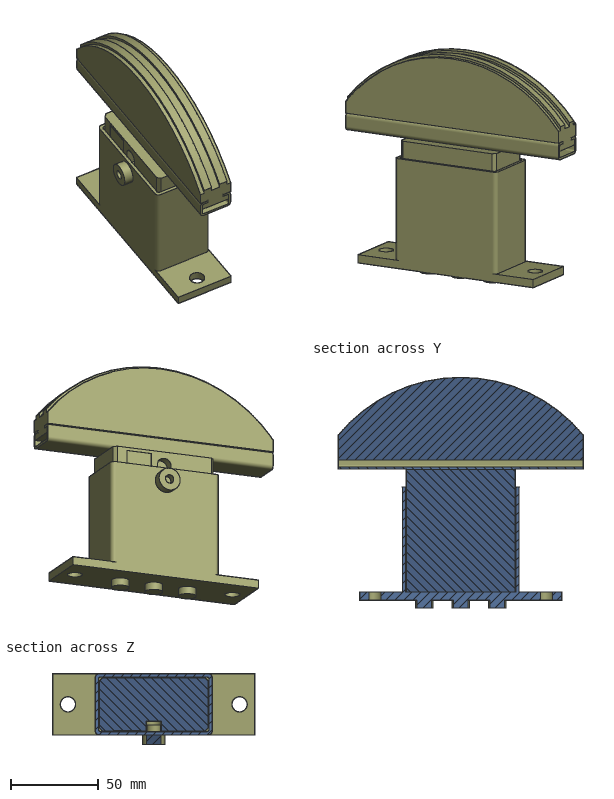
import cadquery as cq
import math


PLATE_LENGTH = 115.4
PLATE_THICKNESS = 4.9
HOUSING_LENGTH = 66.9
HOUSING_WIDTH = 35.0
HOUSING_HEIGHT = 64.8
HOUSING_WALL = 2.0
HOUSING_CORNER_RADIUS = 2.4
CAVITY_CORNER_RADIUS = 1.1
MOUNTING_HOLE_DIAMETER = 8.5
MOUNTING_HOLE_SPACING = 98.0
PEG_DIAMETER = 10.2
PEG_LENGTH = 4.3
PEG_SPACING = 20.9
PEG_COUNT = 3

SLIDER_LENGTH = 62.5
SLIDER_WIDTH = 30.5
SLIDER_TOP = 74.9
SLIDER_CORNER_CHAMFER = 2.0
SLOT_WIDTH = 8.5
SLOT_DEPTH = 5.6
SLOT_TOP = 71.1
PANEL_LENGTH = 15.1
PANEL_CENTRE_X = -15.7
PANEL_TOP = 73.1
PANEL_HEIGHT = 14.0
PANEL_DEPTH = 0.1

SCREW_HEIGHT = 56.7
SCREW_HEAD_DIAMETER = 13.0
SCREW_HEAD_LENGTH = 5.5
SHANK_DIAMETER = 8.0
SHANK_LENGTH = 5.6
SOCKET_DIAMETER = 5.0
SOCKET_DEPTH = 4.2

HEAD_LENGTH = 140.0
HEAD_WIDTH = 20.0
RAIL_HEIGHT = 10.2
RAIL_WALL = 1.4
RAIL_CORNER_RADIUS = 2.2
RAIL_OPENING = 10.0

SHOE_TOP = 127.4
ARC_RISE = 33.0
RIDGE_HEIGHT = 1.4
RIDGE_WIDTH = 4.9
RIDGE_SPACING = 10.2
TONGUE_THICKNESS = 3.6

FRONT_Y = -HOUSING_WIDTH / 2
SLIDER_FRONT_Y = -SLIDER_WIDTH / 2
RAIL_TOP = SLIDER_TOP + RAIL_HEIGHT
RAIL_INNER_WIDTH = HEAD_WIDTH - 2 * RAIL_WALL
RAIL_INNER_RADIUS = RAIL_CORNER_RADIUS - RAIL_WALL
ARC_RADIUS = ((HEAD_LENGTH / 2) ** 2 + ARC_RISE ** 2) / (2 * ARC_RISE)
ARC_CENTRE_Z = SHOE_TOP - ARC_RADIUS


def box_on(length, width, height, base_z):
    """Box centred on the Z axis with its underside at base_z."""
    return cq.Workplane("XY", origin=(0, 0, base_z)).box(length, width, height, centered=(True, True, False))


def cylinder_along_y(diameter, start_y, length):
    """Cylinder on the screw axis, running from start_y towards +Y."""
    plane = cq.Workplane("XZ", origin=(0, start_y, SCREW_HEIGHT))
    return plane.circle(diameter / 2).extrude(-length)


def make_housing():
    plate = box_on(PLATE_LENGTH, HOUSING_WIDTH, PLATE_THICKNESS, 0).faces(">Z").workplane()
    plate = plate.rarray(MOUNTING_HOLE_SPACING, 1.4, 2, 1).hole(MOUNTING_HOLE_DIAMETER)

    wall_height = HOUSING_HEIGHT - PLATE_THICKNESS
    walls = box_on(HOUSING_LENGTH, HOUSING_WIDTH, wall_height, PLATE_THICKNESS)
    walls = walls.edges("|Z").fillet(HOUSING_CORNER_RADIUS)
    cavity = box_on(
        HOUSING_LENGTH - 2 * HOUSING_WALL, HOUSING_WIDTH - 2 * HOUSING_WALL, wall_height, PLATE_THICKNESS
    )
    cavity = cavity.edges("|Z").fillet(CAVITY_CORNER_RADIUS)

    pegs = cq.Workplane("XY").rarray(PEG_SPACING, 1.4, PEG_COUNT, 1).circle(PEG_DIAMETER / 2)
    pegs = pegs.extrude(-PEG_LENGTH)

    screw_hole = cylinder_along_y(SHANK_DIAMETER, FRONT_Y, SHANK_LENGTH)
    return plate.union(walls.cut(cavity)).union(pegs).cut(screw_hole)


def make_slider():
    block = box_on(SLIDER_LENGTH, SLIDER_WIDTH, SLIDER_TOP - PLATE_THICKNESS, PLATE_THICKNESS)
    block = block.edges("|Z").chamfer(SLIDER_CORNER_CHAMFER)

    slot_bottom = SCREW_HEIGHT - SLOT_WIDTH / 2
    slot_plane = cq.Workplane("XZ", origin=(0, SLIDER_FRONT_Y, (SLOT_TOP + slot_bottom) / 2))
    slot = slot_plane.slot2D(SLOT_TOP - slot_bottom, SLOT_WIDTH, 90).extrude(-SLOT_DEPTH)

    panel_plane = cq.Workplane("XZ", origin=(PANEL_CENTRE_X, SLIDER_FRONT_Y, PANEL_TOP - PANEL_HEIGHT / 2))
    panel = panel_plane.rect(PANEL_LENGTH, PANEL_HEIGHT).extrude(-PANEL_DEPTH)
    return block.cut(slot).cut(panel)


def make_screw():
    head_y = FRONT_Y - SCREW_HEAD_LENGTH
    head = cylinder_along_y(SCREW_HEAD_DIAMETER, head_y, SCREW_HEAD_LENGTH)
    shank = cylinder_along_y(SHANK_DIAMETER, FRONT_Y, SHANK_LENGTH)
    socket = cylinder_along_y(SOCKET_DIAMETER, head_y, SOCKET_DEPTH)
    return head.union(shank).cut(socket)


def make_rail():
    tube = box_on(HEAD_LENGTH, HEAD_WIDTH, RAIL_HEIGHT, SLIDER_TOP)
    tube = tube.edges("|X").fillet(RAIL_CORNER_RADIUS)
    inside = box_on(HEAD_LENGTH, RAIL_INNER_WIDTH, RAIL_HEIGHT - 2 * RAIL_WALL, SLIDER_TOP + RAIL_WALL)
    inside = inside.edges("|X").fillet(RAIL_INNER_RADIUS)
    opening = box_on(HEAD_LENGTH, RAIL_OPENING, RAIL_WALL, RAIL_TOP - RAIL_WALL)
    return tube.cut(inside).cut(opening)


def arched_slab(radius, width, centre_y):
    """Slab from the rail top up to an arc about the common arc centre."""
    half_length = HEAD_LENGTH / 2
    end_z = ARC_CENTRE_Z + math.sqrt(radius ** 2 - half_length ** 2)
    outline = (
        cq.Workplane("XZ", origin=(0, centre_y, 0))
        .moveTo(-half_length, RAIL_TOP)
        .lineTo(-half_length, end_z)
        .threePointArc((0, ARC_CENTRE_Z + radius), (half_length, end_z))
        .lineTo(half_length, RAIL_TOP)
        .close()
    )
    return outline.extrude(width / 2, both=True)


def make_shoe():
    shoe = arched_slab(ARC_RADIUS - RIDGE_HEIGHT, HEAD_WIDTH, 0)
    for side in (-1, 1):
        shoe = shoe.union(arched_slab(ARC_RADIUS, RIDGE_WIDTH, side * RIDGE_SPACING / 2))

    neck_base = RAIL_TOP - RAIL_WALL
    neck = box_on(HEAD_LENGTH, RAIL_OPENING, RAIL_WALL, neck_base)
    tongue = box_on(HEAD_LENGTH, RAIL_INNER_WIDTH, TONGUE_THICKNESS, neck_base - TONGUE_THICKNESS)
    tongue = tongue.edges("|X and >Z").fillet(RAIL_INNER_RADIUS)
    return shoe.union(neck).union(tongue)


housing = make_housing()
slider = make_slider()
screw = make_screw()
rail = make_rail()
shoe = make_shoe()

result = cq.Compound.makeCompound([housing.val(), slider.val(), screw.val(), rail.val(), shoe.val()])